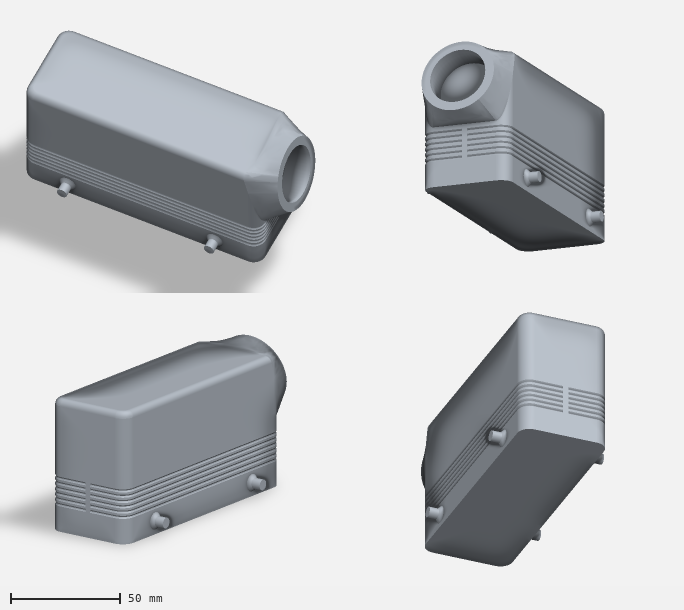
import cadquery as cq
import math

BODY_LENGTH = 120.0
BODY_WIDTH = 42.8
BODY_HEIGHT = 62.8
CORNER_RADIUS = 6.0
TOP_FILLET = 3.0

OVERALL_LENGTH = 132.6
OVERALL_HEIGHT = 66.2
SPOUT_TILT = 14.2
SPOUT_START_X = 111.2
MOUTH_RADIUS = 17.8
BORE_RADIUS = 13.5

GROOVE_COUNT = 6
GROOVE_PITCH = 2.5
GROOVE_WIDTH = 1.5
GROOVE_DEPTH = 0.61
LOWEST_GROOVE_Z = 12.9
GROOVE_GAP = 2.5

PIN_SPACING = 74.2
PIN_Z = 6.4
PIN_RADIUS = 2.5
PIN_TIP_SPAN = 55.0
FOOT_RADIUS = 4.1
FOOT_HEIGHT = 1.6

tilt = math.radians(SPOUT_TILT)
cut_run = BODY_LENGTH - SPOUT_START_X
cut_drop = cut_run / math.tan(tilt)
cut_height = cut_run / math.sin(tilt)
cut_centre = (BODY_LENGTH - cut_run / 2, 0, BODY_HEIGHT - cut_drop / 2)
spout_axis = (math.cos(tilt), 0, math.sin(tilt))
cut_plane = cq.Plane(origin=cut_centre, xDir=(0, 1, 0), normal=spout_axis)

mouth_centre = (
    OVERALL_LENGTH - MOUTH_RADIUS * math.sin(tilt),
    0,
    OVERALL_HEIGHT - MOUTH_RADIUS * math.cos(tilt),
)
mouth_plane = cq.Plane(origin=mouth_centre, xDir=(0, 1, 0), normal=spout_axis)
spout_length = cut_plane.toLocalCoords(cq.Vector(*mouth_centre)).z


def body_outline(z):
    """Rounded rectangle of the body at height z."""
    return (
        cq.Workplane("XY", origin=(BODY_LENGTH / 2, 0, z))
        .sketch()
        .rect(BODY_LENGTH, BODY_WIDTH)
        .vertices()
        .fillet(CORNER_RADIUS)
        .finalize()
    )


def make_body():
    """Rounded block with its upper right end sliced off by the tilted plane."""
    block = body_outline(0).extrude(BODY_HEIGHT).faces(">Z").edges().fillet(TOP_FILLET)
    cutter = cq.Workplane(cut_plane).rect(2 * BODY_WIDTH, 2 * cut_height).extrude(BODY_LENGTH)
    return block.cut(cutter)


def cut_outline():
    """Wire around the tilted cut and its corner points, counter-clockwise from the +Y side.

    The cut turns the top fillets and the vertical corners into quarter ellipses.
    """
    half_width = BODY_WIDTH / 2
    half_height = cut_height / 2
    top_size = (TOP_FILLET, TOP_FILLET / math.cos(tilt))
    bottom_size = (CORNER_RADIUS, CORNER_RADIUS / math.sin(tilt))
    corners = [(1, 1, top_size), (-1, 1, top_size), (-1, -1, bottom_size), (1, -1, bottom_size)]

    arcs = []
    points = []
    for index, (u_sign, v_sign, (u_size, v_size)) in enumerate(corners):
        centre_u = u_sign * (half_width - u_size)
        centre_v = v_sign * (half_height - v_size)
        centre = cut_plane.toWorldCoords((centre_u, centre_v))
        start = 90 * index
        end = start + 90
        arcs.append(
            cq.Edge.makeEllipse(u_size, v_size, centre, cut_plane.zDir, cut_plane.xDir, start, end)
        )
        for angle in (math.radians(start), math.radians(end)):
            points.append((centre_u + u_size * math.cos(angle), centre_v + v_size * math.sin(angle)))

    arc_ends = points[1::2]
    next_starts = points[2::2] + points[:1]
    sides = [
        cq.Edge.makeLine(cut_plane.toWorldCoords(start), cut_plane.toWorldCoords(end))
        for start, end in zip(arc_ends, next_starts)
    ]
    edges = [edge for pair in zip(arcs, sides) for edge in pair]
    return cq.Wire.assembleEdges(edges), points


def mouth_point(angle):
    """Point on the mouth rim at a polar angle, measured from the +Y side."""
    return mouth_plane.toWorldCoords((MOUTH_RADIUS * math.cos(angle), MOUTH_RADIUS * math.sin(angle)))


def mouth_outline(points):
    """Mouth circle, divided at the same polar angles as the corner points of the cut."""
    angles = [math.atan2(v, u) % (2 * math.pi) for u, v in points]
    edges = []
    for start, end in zip(angles, angles[1:] + angles[:1]):
        sweep = (end - start) % (2 * math.pi)
        edges.append(
            cq.Edge.makeThreePointArc(
                mouth_point(start), mouth_point(start + sweep / 2), mouth_point(start + sweep)
            )
        )
    return cq.Wire.assembleEdges(edges)


def make_spout():
    """Ruled transition from the tilted cut to the round mouth."""
    outline, points = cut_outline()
    return cq.Workplane(cq.Solid.makeLoft([outline, mouth_outline(points)], True))


def make_bore():
    """Round cable entry, as deep as the spout is long."""
    return cq.Workplane(mouth_plane).circle(BORE_RADIUS).extrude(-spout_length)


def make_groove(z):
    """V-shaped ring around the body, centred on height z."""
    half_width = GROOVE_WIDTH / 2
    flank_angle = math.degrees(math.atan(GROOVE_DEPTH / half_width))
    centre = cq.Workplane("XY", origin=(BODY_LENGTH / 2, 0, z))
    ring = centre.box(BODY_LENGTH + CORNER_RADIUS, BODY_WIDTH + CORNER_RADIUS, GROOVE_WIDTH)
    lower_core = body_outline(z - half_width).extrude(half_width, taper=flank_angle)
    upper_core = lower_core.mirror("XY", (0, 0, z))
    gap = centre.box(2 * BODY_LENGTH, GROOVE_GAP, GROOVE_PITCH)
    return ring.cut(lower_core).cut(upper_core).cut(gap)


def make_pin(x, side):
    """Round pin with a conical foot; side is -1 or +1 along Y."""
    wall_y = BODY_WIDTH / 2
    foot_y = wall_y + FOOT_HEIGHT
    profile = [
        (0, 0),
        (FOOT_RADIUS, 0),
        (FOOT_RADIUS, wall_y),
        (PIN_RADIUS, foot_y),
        (PIN_RADIUS, PIN_TIP_SPAN / 2),
        (0, PIN_TIP_SPAN / 2),
    ]
    pin_plane = cq.Plane(origin=(x, 0, PIN_Z), xDir=(1, 0, 0), normal=(0, 0, side))
    return cq.Workplane(pin_plane).polyline(profile).close().revolve(360, (0, 0), (0, 1))


result = make_body().union(make_spout()).cut(make_bore())

for groove in range(GROOVE_COUNT):
    result = result.cut(make_groove(LOWEST_GROOVE_Z + groove * GROOVE_PITCH))

for pin_x in ((BODY_LENGTH - PIN_SPACING) / 2, (BODY_LENGTH + PIN_SPACING) / 2):
    for side in (-1, 1):
        result = result.union(make_pin(pin_x, side))